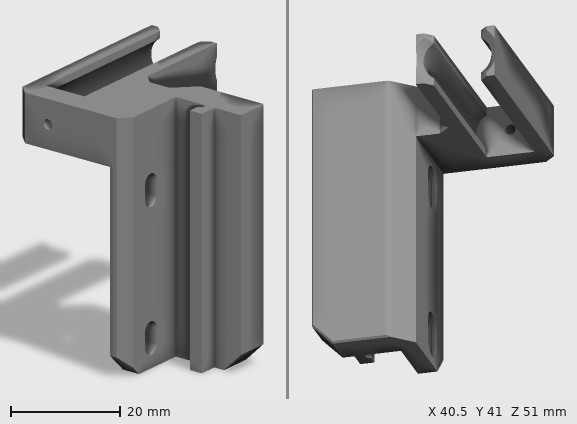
import cadquery as cq

WIDTH = 40.5
DEPTH = 41.0
HEIGHT = 51.0

ARM_HEIGHT = 9.95
ARM_WIDTH = 15.0
PRONG_THICKNESS = 3.0
CHANNEL_FLOOR_Y = 5.1
MOUTH_CHAMFER = 1.5
ARM_BOTTOM = HEIGHT - ARM_HEIGHT
ARM_MID_Z = HEIGHT - ARM_HEIGHT / 2
CHANNEL_MID_X = ARM_WIDTH / 2
CHANNEL_WIDTH = ARM_WIDTH - 2 * PRONG_THICKNESS

GROOVE_DIAMETER = 8.0
GROOVE_DEPTH = 2.0
PIN_HOLE_DIAMETER = 2.0

PLATE_LEFT_X = 21.75
PLATE_RIGHT_X = 25.45
PLATE_CORNER_CHAMFER = 4.0
OUTER_CHAMFER = 2.2
FLANGE_FRONT_Y = 15.0
FLANGE_BACK_Y = 22.05
FLANGE_EDGE_CHAMFER = 0.35
FLANGE_CORNER_CHAMFER = 3.95
WEB_BACK_Y = 18.0
WEB_CHAMFER = 2.15
WEB_SLOPE = FLANGE_BACK_Y - WEB_BACK_Y

RIB_LEFT_X = 32.4
RIB_RIGHT_X = 34.3
RIB_FRONT_Y = 11.2
HOOK_REACH = 0.8
HOOK_TOP_Y = 14.1

SLOT_LENGTH = 6.6
SLOT_WIDTH = 3.5
SLOT_RIM = 1.0
SLOT_RECESS_DEPTH = 0.8
SLOT_Y = 7.5
SLOT_CENTRES_Z = (5.95, 35.05)


def make_body():
    """Full-height plan outline, with the space below the fork arm removed."""
    outline = [
        (OUTER_CHAMFER, 0),
        (PLATE_RIGHT_X - OUTER_CHAMFER, 0),
        (PLATE_RIGHT_X, OUTER_CHAMFER),
        (PLATE_RIGHT_X, FLANGE_FRONT_Y),
        (RIB_LEFT_X, FLANGE_FRONT_Y),
        (RIB_LEFT_X, HOOK_TOP_Y),
        (RIB_LEFT_X - HOOK_REACH, HOOK_TOP_Y - HOOK_REACH),
        (RIB_LEFT_X - HOOK_REACH, RIB_FRONT_Y),
        (RIB_RIGHT_X, RIB_FRONT_Y),
        (RIB_RIGHT_X, FLANGE_FRONT_Y),
        (WIDTH, FLANGE_FRONT_Y),
        (WIDTH, FLANGE_BACK_Y),
        (PLATE_LEFT_X + WEB_SLOPE, FLANGE_BACK_Y),
        (PLATE_LEFT_X, WEB_BACK_Y),
        (ARM_WIDTH + WEB_CHAMFER, WEB_BACK_Y),
        (ARM_WIDTH, WEB_BACK_Y + WEB_CHAMFER),
        (ARM_WIDTH, DEPTH),
        (0, DEPTH),
        (0, OUTER_CHAMFER),
    ]
    body = cq.Workplane("XY").polyline(outline).close().extrude(HEIGHT)
    below_arm = cq.Workplane("XY").box(PLATE_LEFT_X, DEPTH, ARM_BOTTOM, centered=False)
    return body.cut(below_arm)


def make_channel():
    """Space between the prongs: a slot with round side grooves and a flared mouth."""
    centre_offset = CHANNEL_WIDTH / 2 + GROOVE_DEPTH - GROOVE_DIAMETER / 2
    floor = cq.Workplane("XZ", origin=(CHANNEL_MID_X, CHANNEL_FLOOR_Y, ARM_MID_Z))
    length = DEPTH - CHANNEL_FLOOR_Y
    channel = floor.rect(CHANNEL_WIDTH, ARM_HEIGHT).extrude(-length)

    mouth_flare = (
        cq.Workplane("XY", origin=(CHANNEL_MID_X, DEPTH, ARM_BOTTOM))
        .polyline([
            (-CHANNEL_WIDTH / 2 - MOUTH_CHAMFER, 0),
            (CHANNEL_WIDTH / 2 + MOUTH_CHAMFER, 0),
            (CHANNEL_WIDTH / 2, -MOUTH_CHAMFER),
            (-CHANNEL_WIDTH / 2, -MOUTH_CHAMFER),
        ])
        .close()
        .extrude(ARM_HEIGHT)
    )
    channel = channel.union(mouth_flare)

    for offset in (-centre_offset, centre_offset):
        groove = floor.center(offset, 0).circle(GROOVE_DIAMETER / 2).extrude(-length)
        groove_flare = (
            cq.Workplane("XZ", origin=(CHANNEL_MID_X + offset, DEPTH, ARM_MID_Z))
            .circle(GROOVE_DIAMETER / 2 + MOUTH_CHAMFER)
            .extrude(MOUTH_CHAMFER, taper=45)
        )
        channel = channel.union(groove).union(groove_flare)
    return channel


def make_pin_hole():
    """Small round hole from the front face into the channel."""
    return (
        cq.Workplane("XZ", origin=(CHANNEL_MID_X, 0, ARM_MID_Z))
        .circle(PIN_HOLE_DIAMETER / 2)
        .extrude(-CHANNEL_FLOOR_Y)
    )


def make_slotted_hole(centre_z):
    """Upright slot through the plate with a wider shallow recess on the left face."""
    face = cq.Workplane("YZ", origin=(PLATE_LEFT_X, SLOT_Y, centre_z))
    through = face.slot2D(SLOT_LENGTH, SLOT_WIDTH, 90).extrude(PLATE_RIGHT_X - PLATE_LEFT_X)
    recess = face.slot2D(SLOT_LENGTH + 2 * SLOT_RIM, SLOT_WIDTH + 2 * SLOT_RIM, 90)
    return through.union(recess.extrude(SLOT_RECESS_DEPTH))


def make_plate_corner():
    """Wedge taken off the lower front corner of the plate."""
    return (
        cq.Workplane("YZ", origin=(PLATE_LEFT_X, 0, 0))
        .polyline([(0, 0), (PLATE_CORNER_CHAMFER, 0), (0, PLATE_CORNER_CHAMFER)])
        .close()
        .extrude(PLATE_RIGHT_X - PLATE_LEFT_X)
    )


def make_flange_corner():
    """Wedge taken off the lower right corner of the flange."""
    return (
        cq.Workplane("XZ", origin=(WIDTH, FLANGE_FRONT_Y, 0))
        .polyline([(0, 0), (-FLANGE_CORNER_CHAMFER, 0), (0, FLANGE_CORNER_CHAMFER)])
        .close()
        .extrude(FLANGE_FRONT_Y - FLANGE_BACK_Y)
    )


def ease_flange_back(part):
    """Small chamfer around the flange's back face, except along the top."""
    middle_x = (PLATE_LEFT_X + WIDTH) / 2
    back_face = part.faces(cq.selectors.NearestToPointSelector((middle_x, FLANGE_BACK_Y, HEIGHT / 2)))
    return back_face.edges("not >Z").chamfer(FLANGE_EDGE_CHAMFER)


result = make_body().cut(make_channel()).cut(make_pin_hole())
for slot_z in SLOT_CENTRES_Z:
    result = result.cut(make_slotted_hole(slot_z))
result = result.cut(make_plate_corner()).cut(make_flange_corner())
result = ease_flange_back(result)